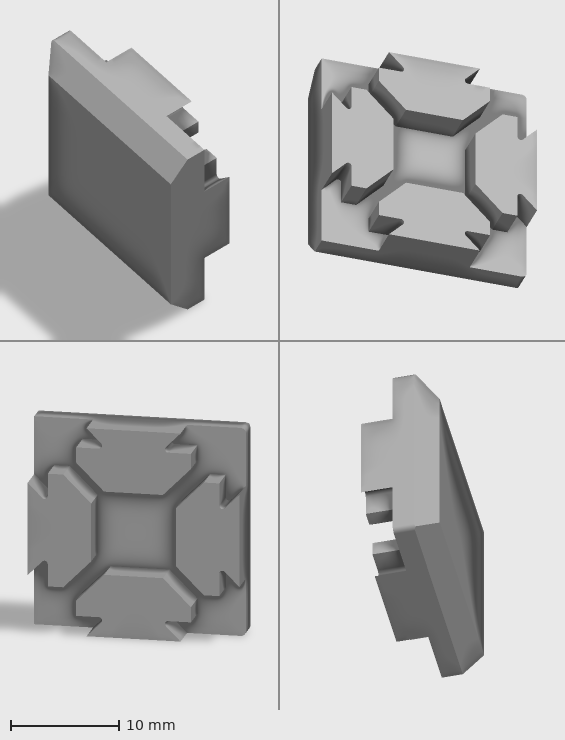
import cadquery as cq


side = 20.0
total_depth = 7.0
tongue_length = 3.0
bevel = 2.0
corner_radius = 0.5
plate_depth = total_depth - tongue_length

mouth_half_width = 4.45
head_half_width = 5.42
head_depth = 1.9
shoulder_depth = 3.35
tip_depth = 6.0
throat_radius = 0.3

half_side = side / 2


def make_plate():
    """Square plate, front face at Y=0, with a plain +X side."""
    plate = cq.Workplane("XY").box(side, plate_depth, side, centered=(True, False, True))
    plate = plate.edges("|Y and <X").fillet(corner_radius)
    cutter = (
        cq.Workplane("XY")
        .box(2 * side, bevel, 2 * side, centered=(True, False, True))
        .cut(make_bevel_core())
    )
    return plate.cut(cutter)


def make_bevel_core():
    """Tapered block kept inside the bevels on the -X, +Z and -Z sides."""
    face_width = side - bevel
    face_height = side - 2 * bevel
    return (
        cq.Workplane("XZ", origin=(bevel / 2, 0, 0))
        .rect(face_width, face_height)
        .workplane(offset=-bevel)
        .center(-bevel / 2, 0)
        .rect(side, side)
        .loft(ruled=True)
    )


def make_tongue():
    """Tongue on the +Z side: 45-degree mouth, T-shaped head, 45-degree taper."""
    throat_half_width = mouth_half_width - head_depth
    tip_half_width = head_half_width - (tip_depth - shoulder_depth)

    half_outline = [
        (mouth_half_width, half_side),
        (throat_half_width, half_side - head_depth),
        (head_half_width, half_side - head_depth),
        (head_half_width, half_side - shoulder_depth),
        (tip_half_width, half_side - tip_depth),
    ]
    mirrored_outline = [(-x, z) for x, z in reversed(half_outline)]
    tongue = (
        cq.Workplane("XZ", origin=(0, plate_depth, 0))
        .polyline(half_outline + mirrored_outline)
        .close()
        .extrude(-tongue_length)
    )
    for x in (-throat_half_width, throat_half_width):
        throat_point = (x, plate_depth + tongue_length / 2, half_side - head_depth)
        throat_edge = cq.selectors.NearestToPointSelector(throat_point)
        tongue = tongue.edges(throat_edge).fillet(throat_radius)
    return tongue


result = make_plate()
tongue = make_tongue()
for quarter_turn in range(4):
    result = result.union(tongue.rotate((0, 0, 0), (0, 1, 0), 90 * quarter_turn))